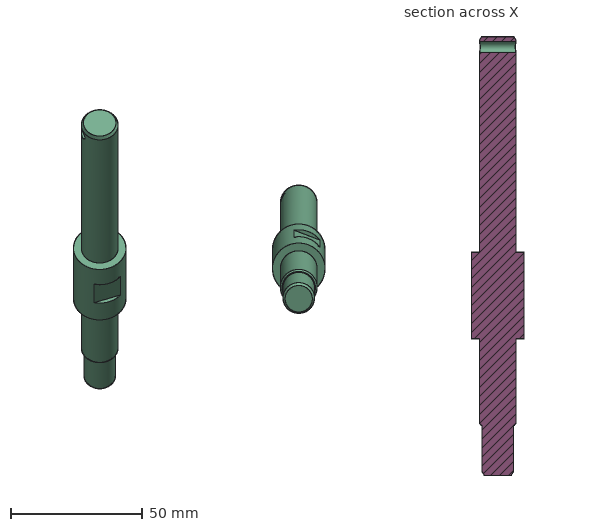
import cadquery as cq

total_length = 167.0
collar_diameter = 20.0
rod_diameter = 14.0
spigot_diameter = 12.0

spigot_length = 19.0
collar_bottom = 52.0
collar_length = 33.0

end_chamfer_length = 1.3
end_chamfer_depth = 0.8
shoulder_chamfer = 0.7

flat_spacing = 17.0
flat_height = 12.0
flat_top_offset = 10.0

hole_diameter = 4.0
hole_top_offset = 4.0


def cylinder(diameter, bottom, length):
    """Return a cylinder on the Z axis starting at the given height."""
    return cq.Workplane("XY").workplane(offset=bottom).circle(diameter / 2).extrude(length)


def conical_end(diameter, start, direction):
    """Return the tapered shaft end that grows from the given height along Z (+1 up, -1 down)."""
    tip_radius = diameter / 2 - end_chamfer_depth
    return (
        cq.Workplane("XY")
        .workplane(offset=start)
        .circle(diameter / 2)
        .workplane(offset=direction * end_chamfer_length)
        .circle(tip_radius)
        .loft(ruled=True)
    )


spigot = cylinder(spigot_diameter, end_chamfer_length, spigot_length - end_chamfer_length)
spigot = spigot.union(conical_end(spigot_diameter, end_chamfer_length, -1))
rod_taper_start = total_length - end_chamfer_length
rod = cylinder(rod_diameter, spigot_length, rod_taper_start - spigot_length)
rod = rod.faces("<Z").chamfer(shoulder_chamfer)
rod = rod.union(conical_end(rod_diameter, rod_taper_start, 1))
collar = cylinder(collar_diameter, collar_bottom, collar_length)
shaft = spigot.union(rod).union(collar)

flat_center = collar_bottom + collar_length - flat_top_offset - flat_height / 2
for side in (-1, 1):
    cutter_x = side * (flat_spacing + collar_diameter) / 2
    cutter = cq.Workplane("XY").box(collar_diameter, collar_diameter, flat_height)
    shaft = shaft.cut(cutter.translate((cutter_x, 0, flat_center)))

cross_hole = (
    cq.Workplane("XZ")
    .center(0, total_length - hole_top_offset)
    .circle(hole_diameter / 2)
    .extrude(rod_diameter / 2, both=True)
)

result = shaft.cut(cross_hole)